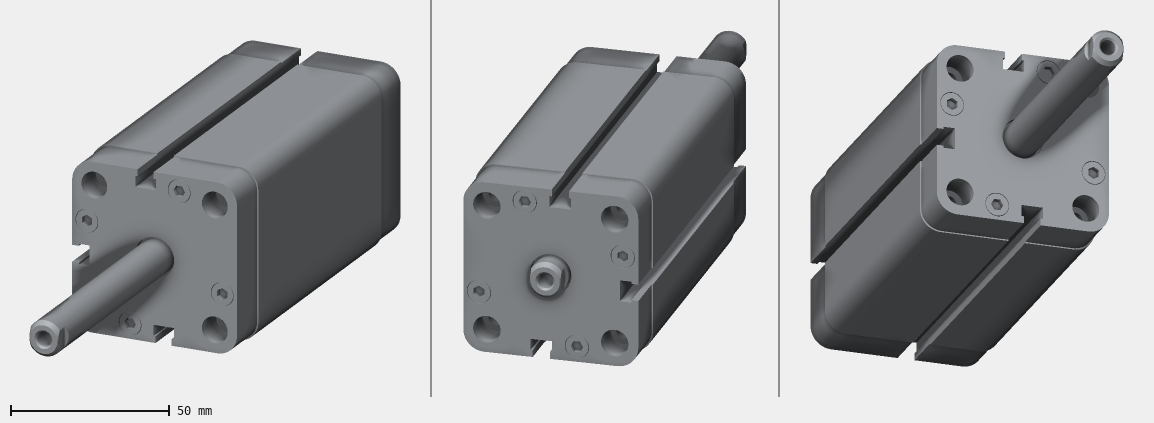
import cadquery as cq
import math


tube_width = 58.2
cap_width = 57.3
corner_radius = 6.9
body_length = 120.3
cap_length = 14.8

total_length = 208.5
front_reach = 81.7
rod_diameter = 12.0
tip_chamfer_length = 1.5
tip_chamfer_height = 1.3
flat_width = 10.0
flat_length = 4.8
thread_diameter = 5.0
thread_depth = 12.5
countersink_diameter = 6.3
drill_point_angle = 118.0

slot_offset = 3.1
slot_neck_width = 5.6
slot_inner_width = 7.0
slot_lip = 2.7
slot_depth = 6.5
slot_angles = (0, 90, 180)

mount_spacing = 42.0
mount_diameter = 5.0
mount_bore_diameter = 9.0
mount_bore_depth = 10.5
bearing_diameter = 13.5
bearing_gap_depth = 2.0
screw_across = 8.5
screw_along = 23.5
screw_angles = (0, 90, 180, 270)
screw_bore_diameter = 8.0
screw_head_diameter = 7.5
screw_gap_depth = 1.0
socket_across_flats = 3.5
socket_depth = 2.0

middle_y = body_length / 2


def rounded_bar(width, start_y, length):
    """Square bar along Y with rounded long edges."""
    bar = cq.Workplane("XY").box(width, length, width).edges("|Y").fillet(corner_radius)
    return bar.translate((0, start_y + length / 2, 0))


def front_plane():
    """Workplane on the front cap face, extruding toward +Y; local x is -X, local y is Z."""
    return cq.Workplane(cq.Plane(origin=(0, 0, 0), xDir=(-1, 0, 0), normal=(0, 1, 0)))


def at_both_ends(shape):
    """Shape together with its mirror image about the middle of the body."""
    return shape.union(shape.mirror("XZ", (0, middle_y, 0)))


def sensor_slot():
    """T-shaped groove along the top face, running the full body length."""
    neck = cq.Workplane("XY").box(slot_neck_width, body_length, slot_depth)
    inner_height = slot_depth - slot_lip
    inner = cq.Workplane("XY").box(slot_inner_width, body_length, inner_height)
    top = tube_width / 2
    neck = neck.translate((-slot_offset, middle_y, top - slot_depth / 2))
    inner = inner.translate((-slot_offset, middle_y, top - slot_lip - inner_height / 2))
    return neck.union(inner)


def mounting_holes():
    """Four corner holes through the body, counterbored at both caps."""
    corners = front_plane().rect(mount_spacing, mount_spacing, forConstruction=True).vertices()
    through = corners.circle(mount_diameter / 2).extrude(body_length)
    bores = corners.circle(mount_bore_diameter / 2).extrude(mount_bore_depth)
    return through.union(at_both_ends(bores))


def screw_recess():
    """Narrow gap around a flush cap screw, and its hexagon socket."""
    center = front_plane().center(-screw_across, screw_along)
    gap = center.circle(screw_bore_diameter / 2).circle(screw_head_diameter / 2).extrude(screw_gap_depth)
    socket_corners = socket_across_flats / math.cos(math.radians(30))
    socket = center.polygon(6, socket_corners).extrude(socket_depth)
    return gap.union(socket)


def bearing_gap():
    """Annular gap between the rod and the bore of the cap."""
    return front_plane().circle(bearing_diameter / 2).circle(rod_diameter / 2).extrude(bearing_gap_depth)


def rod():
    """Rod through the body with chamfered tips."""
    rod_radius = rod_diameter / 2
    tip_face_radius = rod_radius - tip_chamfer_height
    return (
        cq.Workplane("XY", origin=(0, -front_reach, 0))
        .lineTo(tip_face_radius, 0)
        .lineTo(rod_radius, tip_chamfer_length)
        .lineTo(rod_radius, total_length - tip_chamfer_length)
        .lineTo(tip_face_radius, total_length)
        .lineTo(0, total_length)
        .close()
        .revolve(360, (0, 0, 0), (0, 1, 0))
    )


def tip_cut():
    """Wrench flats and threaded hole of a rod tip that points to -Y, with its face at Y = 0."""
    half_flat = flat_width / 2
    rod_radius = rod_diameter / 2
    flat_step = rod_radius - half_flat
    flat = (
        cq.Workplane("XY")
        .moveTo(half_flat, 0)
        .lineTo(half_flat, flat_length)
        .lineTo(rod_radius, flat_length + flat_step)
        .lineTo(rod_radius, 0)
        .close()
        .extrude(rod_radius, both=True)
    )
    thread_radius = thread_diameter / 2
    countersink_radius = countersink_diameter / 2
    point_length = thread_radius / math.tan(math.radians(drill_point_angle / 2))
    hole = (
        cq.Workplane("XY")
        .lineTo(countersink_radius, 0)
        .lineTo(thread_radius, countersink_radius - thread_radius)
        .lineTo(thread_radius, thread_depth)
        .lineTo(0, thread_depth + point_length)
        .close()
        .revolve(360, (0, 0, 0), (0, 1, 0))
    )
    return flat.union(flat.mirror("YZ")).union(hole)


result = rounded_bar(cap_width, 0, body_length)
result = result.union(rounded_bar(tube_width, cap_length, body_length - 2 * cap_length))

for angle in slot_angles:
    result = result.cut(sensor_slot().rotate((0, 0, 0), (0, 1, 0), -angle))

result = result.cut(mounting_holes())

for angle in screw_angles:
    recess = screw_recess().rotate((0, 0, 0), (0, 1, 0), -angle)
    result = result.cut(at_both_ends(recess))

result = result.union(rod())
result = result.cut(at_both_ends(bearing_gap()))
front_tip = tip_cut().translate((0, -front_reach, 0))
rear_tip = tip_cut().mirror("XZ").translate((0, total_length - front_reach, 0))
result = result.cut(front_tip).cut(rear_tip)